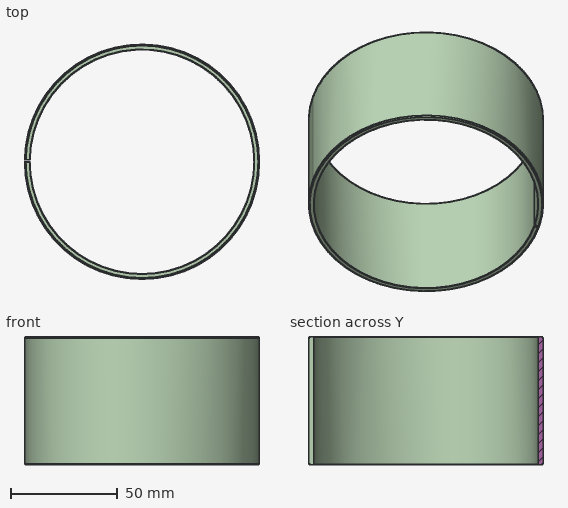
import cadquery as cq

outer_diameter = 110.0
wall_thickness = 2.5
length = 60.0
outer_chamfer = 0.6
inner_chamfer = 0.2
split_gap = 0.9

outer_radius = outer_diameter / 2
inner_radius = outer_radius - wall_thickness


def make_outer_body():
    """Solid cylinder standing on the XY plane, with both rims chamfered."""
    cylinder = cq.Workplane("XY").circle(outer_radius).extrude(length)
    return cylinder.faces("<Z or >Z").chamfer(outer_chamfer)


def cut_bore(body):
    """Bore the body through along Z and break both bore rims."""
    bore = cq.Workplane("XY").circle(inner_radius).extrude(length)
    inner_rims = cq.selectors.RadiusNthSelector(0)
    return body.cut(bore).faces("<Z or >Z").edges(inner_rims).chamfer(inner_chamfer)


def cut_split(sleeve):
    """Open the wall over its full length on the -X side, from the XZ plane towards +Y."""
    slab = cq.Workplane("XY").box(outer_radius, split_gap, length, centered=False)
    return sleeve.cut(slab.translate((-outer_radius, 0, 0)))


result = cut_split(cut_bore(make_outer_body()))